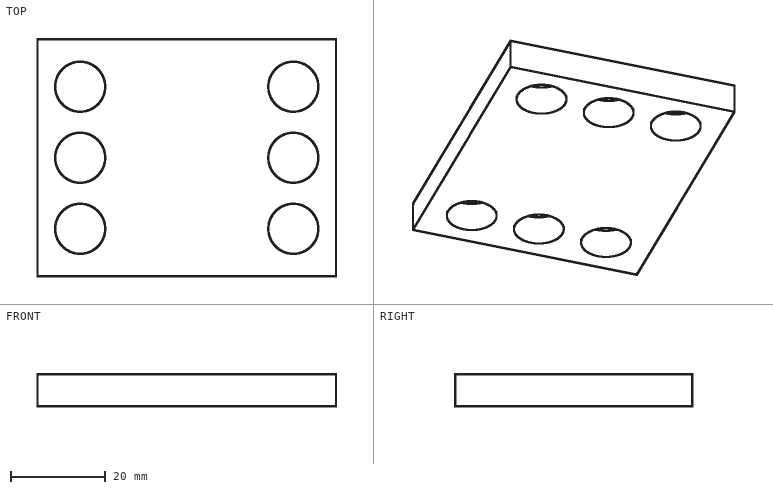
import cadquery as cq

length = 63.0
width = 50.0
thickness = 6.8

hole_diameter = 10.5
column_spacing = 45.0
row_pitch = 15.0
columns = 2
rows = 3

plate = cq.Workplane("XY").box(length, width, thickness)

result = (
    plate.faces(">Z")
    .workplane()
    .rarray(column_spacing, row_pitch, columns, rows)
    .hole(hole_diameter)
)